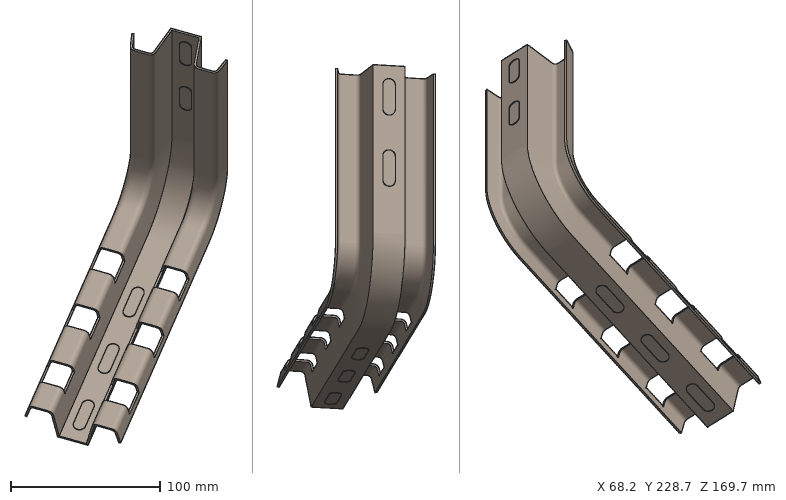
import cadquery as cq
import math

width = 68.2
outer_length = 228.7
outer_height = 169.7
emboss = 0.5
leg_length = outer_length - emboss
leg_height = outer_height - emboss

sheet = 1.5
section_depth = 26.0
lip_drop = 13.0
floor_half_width = 9.5
wall_slope = 0.19
lip_slope = 0.25
rail_outer_radius = 4.3
rail_inner_radius = rail_outer_radius - sheet

bend_radius = 50.8

slot_length = 25.6
slot_width = 8.5
slot_end_gap = 9.4
slot_pitch = 50.0
horizontal_slots = 3
vertical_slots = 2

notch_length = 19.2
notch_pitch = slot_pitch
notch_end_gap = 21.5
notch_depth = 8.2
shallow_notch_depth = 6.0
notch_count = 3


def hat_section():
    """Closed sheet outline, X across the part and Y up from the channel underside."""
    wall_shift = sheet * math.hypot(1, wall_slope)
    lip_stretch = math.hypot(1, lip_slope)
    lip_shift = sheet * lip_stretch
    lip_y = section_depth - lip_drop

    def wall_x(y):
        return floor_half_width + (y - sheet) * wall_slope

    def lip_x(y):
        return width / 2 - (y - lip_y) * lip_slope

    inner_rail_y = section_depth - sheet
    right_half = [
        (wall_x(0) + wall_shift, 0),
        (wall_x(inner_rail_y) + wall_shift, inner_rail_y),
        (lip_x(inner_rail_y) - lip_shift, inner_rail_y),
        (width / 2 - sheet / lip_stretch, lip_y - sheet * lip_slope / lip_stretch),
        (width / 2, lip_y),
        (lip_x(section_depth), section_depth),
        (wall_x(section_depth), section_depth),
        (floor_half_width, sheet),
    ]
    left_half = [(-x, y) for x, y in reversed(right_half)]
    outline = right_half + left_half
    return (
        cq.Sketch()
        .polygon(outline + outline[:1])
        .vertices(">>Y[-2]").fillet(rail_inner_radius)
        .reset()
        .vertices(">Y").fillet(rail_outer_radius)
        .reset()
    )


def bent_sheet():
    section = hat_section()
    horizontal_start = cq.Plane((0, -bend_radius, 0), (1, 0, 0), (0, -1, 0))
    vertical_start = cq.Plane((0, 0, bend_radius), (1, 0, 0), (0, 0, -1))
    horizontal = cq.Workplane(horizontal_start).placeSketch(section).extrude(leg_length - bend_radius)
    vertical = cq.Workplane(vertical_start).placeSketch(section).extrude(bend_radius - leg_height)
    bend = (
        cq.Workplane(horizontal_start)
        .placeSketch(section)
        .revolve(90, (0, bend_radius, 0), (1, bend_radius, 0))
    )
    return horizontal.union(bend).union(vertical)


def slot_prisms(plane, leg, count):
    """Slots one dimple deep on a plane whose Y axis runs along the leg from the bend corner."""
    first = leg - slot_end_gap - slot_length / 2
    centers = [(0, first - i * slot_pitch) for i in range(count)]
    return cq.Workplane(plane).pushPoints(centers).slot2D(slot_length, slot_width, 90).extrude(emboss)


def emboss_slots(body, outward, along, leg, count):
    """Push slot-shaped dimples out of the channel floor: a pad outside, a recess inside."""
    across = along.cross(outward)
    outside = cq.Plane(cq.Vector(0, 0, 0), across, outward)
    inside = cq.Plane(outward * -sheet, across, outward)
    pads = slot_prisms(outside, leg, count)
    recesses = slot_prisms(inside, leg, count)
    return body.union(pads).cut(recesses)


def notch_box(x_start, x_end, y_start, depth):
    box = cq.Workplane().box(x_end - x_start, notch_length, depth, centered=False)
    return box.translate((x_start, y_start, section_depth - depth))


def cut_notches(body):
    rail_inside = floor_half_width
    rail_outside = width / 2
    rail_center = (rail_inside + rail_outside) / 2
    for i in range(notch_count):
        y_start = notch_end_gap + i * notch_pitch - leg_length
        left_wall_depth = shallow_notch_depth if i == 0 else notch_depth
        body = body.cut(notch_box(rail_inside, rail_outside, y_start, notch_depth))
        body = body.cut(notch_box(-rail_outside, -rail_center, y_start, notch_depth))
        body = body.cut(notch_box(-rail_center, -rail_inside, y_start, left_wall_depth))
    return body


bracket = bent_sheet()
bracket = emboss_slots(bracket, cq.Vector(0, 0, -1), cq.Vector(0, -1, 0), leg_length, horizontal_slots)
bracket = emboss_slots(bracket, cq.Vector(0, 1, 0), cq.Vector(0, 0, 1), leg_height, vertical_slots)
result = cut_notches(bracket)